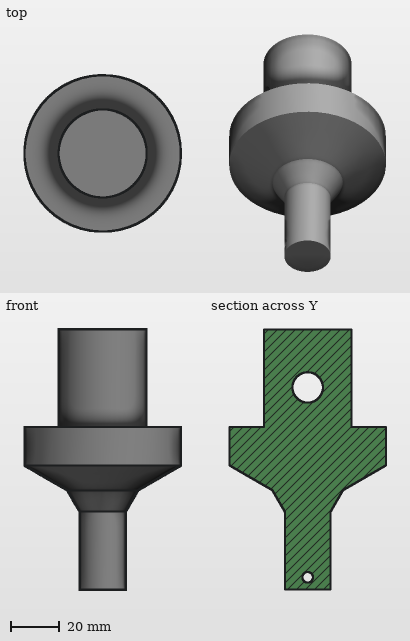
import cadquery as cq
import math

total_height = 106.5
stem_height = 32.0
flange_top = 66.6

stem_diameter = 19.0
neck_diameter = 29.0
flange_diameter = 64.0
shank_diameter = 36.0

taper = math.tan(math.radians(30))

shank_hole_diameter = 12.2
shank_hole_height = 82.6
stem_hole_diameter = 4.2
stem_hole_height = 5.1

stem_radius = stem_diameter / 2
neck_radius = neck_diameter / 2
flange_radius = flange_diameter / 2
shank_radius = shank_diameter / 2
neck_top = stem_height + (neck_radius - stem_radius) / taper
flange_bottom = neck_top + (flange_radius - neck_radius) * taper


def turned_body():
    """Stem, two-stage cone, flange and shank revolved about Z."""
    profile = (
        cq.Workplane("XZ")
        .moveTo(0, 0)
        .lineTo(stem_radius, 0)
        .lineTo(stem_radius, stem_height)
        .lineTo(neck_radius, neck_top)
        .lineTo(flange_radius, flange_bottom)
        .lineTo(flange_radius, flange_top)
        .lineTo(shank_radius, flange_top)
        .lineTo(shank_radius, total_height)
        .lineTo(0, total_height)
        .close()
    )
    return profile.revolve(360, (0, 0, 0), (0, 1, 0))


def radial_hole(diameter, height):
    """Cutter running from the axis out past the +Y side of the body."""
    return cq.Workplane("XZ").center(0, height).circle(diameter / 2).extrude(-flange_radius)


result = (
    turned_body()
    .cut(radial_hole(shank_hole_diameter, shank_hole_height))
    .cut(radial_hole(stem_hole_diameter, stem_hole_height))
)